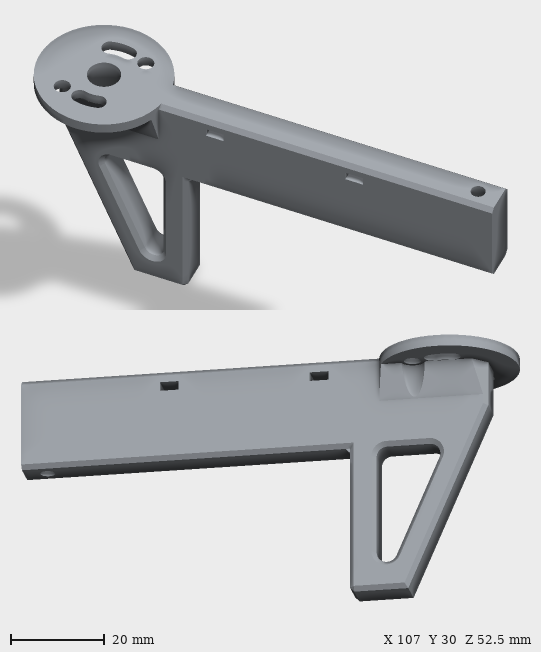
import cadquery as cq
import math

LENGTH = 107.0
HEIGHT = 52.5
FLANGE_RADIUS = 15.0
FLANGE_THICKNESS = 2.5
END_X = LENGTH - FLANGE_RADIUS

BODY_WIDTH = 8.0
EDGE_CHAMFER = 1.0
ARM_DEPTH = 20.0
REAR_X = -9.0
REAR_DEPTH = 12.2
LEG_REAR_X = 8.3
LEG_FRONT_X = 21.0
LEG_SLOPE = (LEG_REAR_X - REAR_X) / (HEIGHT - REAR_DEPTH)

WINDOW_TOP = -20.1
WINDOW_FRONT_X = 15.2
WINDOW_RADIUS = 2.2
LEG_STRUT_WIDTH = 5.4

GUSSET_DEPTH = 10.0
GUSSET_TOP_WIDTH = 13.6

BORE_DIAMETER = 7.3
BORE_DEPTH = 10.0
SCREW_OFFSET = 6.7
SCREW_DIAMETER = 3.6
SCREW_CLEARANCE_DIAMETER = 5.2
SLOT_MID_RADIUS = 8.2
SLOT_WIDTH = 3.6
SLOT_LENGTH = 7.9

END_HOLE_X = 87.0
END_HOLE_DIAMETER = 3.2
TIE_HOLE_CENTERS = (27.5, 59.9)
TIE_HOLE_LENGTH = 4.1
TIE_HOLE_HEIGHT = 1.9
TIE_HOLE_Z = -3.4


def make_body():
    """Extrude the side outline, chamfer its sides and toe, and fill the corner under the arm."""
    body = (
        cq.Workplane("XZ")
        .polyline([
            (REAR_X, 0),
            (END_X, 0),
            (END_X, -ARM_DEPTH),
            (LEG_FRONT_X, -ARM_DEPTH),
            (LEG_FRONT_X, -HEIGHT),
            (LEG_REAR_X, -HEIGHT),
            (REAR_X, -REAR_DEPTH),
        ])
        .close()
        .extrude(BODY_WIDTH / 2, both=True)
    )
    side_edges = body.faces("<Y or >Y").edges("not >X")
    toe_edge = body.faces("<Z").edges("|Y and >X")
    body = side_edges.add(toe_edge).chamfer(EDGE_CHAMFER)
    corner_web = (
        cq.Workplane("XZ")
        .polyline([
            (LEG_FRONT_X, -ARM_DEPTH),
            (LEG_FRONT_X + EDGE_CHAMFER, -ARM_DEPTH),
            (LEG_FRONT_X, -ARM_DEPTH - EDGE_CHAMFER),
        ])
        .close()
        .extrude(BODY_WIDTH / 2 - EDGE_CHAMFER, both=True)
    )
    return body.union(corner_web)


def cut_window(body):
    """Cut the rounded triangular window, its slanted side parallel to the leg's rear."""
    slant_offset = LEG_STRUT_WIDTH * math.hypot(1, LEG_SLOPE)
    top_rear_x = REAR_X + slant_offset + LEG_SLOPE * (-WINDOW_TOP - REAR_DEPTH)
    bottom_z = WINDOW_TOP - (WINDOW_FRONT_X - top_rear_x) / LEG_SLOPE
    window = (
        cq.Workplane("XZ")
        .polyline([
            (top_rear_x, WINDOW_TOP),
            (WINDOW_FRONT_X, WINDOW_TOP),
            (WINDOW_FRONT_X, bottom_z),
        ])
        .close()
        .extrude(BODY_WIDTH, both=True)
        .edges("|Y")
        .fillet(WINDOW_RADIUS)
    )
    rims = cq.selectors.BoxSelector(
        (top_rear_x, -BODY_WIDTH, WINDOW_TOP + EDGE_CHAMFER),
        (WINDOW_FRONT_X + EDGE_CHAMFER, BODY_WIDTH, -HEIGHT + 2 * EDGE_CHAMFER),
        boundingbox=True,
    )
    return body.cut(window).faces("<Y or >Y").edges(rims).chamfer(EDGE_CHAMFER)


def make_gusset():
    """Taper from the flange to the body, with the rear chamfers carried out to its sides."""
    taper = (
        cq.Workplane("YZ", origin=(REAR_X, 0, 0))
        .polyline([
            (-GUSSET_TOP_WIDTH / 2, 0),
            (GUSSET_TOP_WIDTH / 2, 0),
            (BODY_WIDTH / 2, -GUSSET_DEPTH),
            (-BODY_WIDTH / 2, -GUSSET_DEPTH),
        ])
        .close()
        .extrude(FLANGE_RADIUS - REAR_X)
    )
    rear_half_width = BODY_WIDTH / 2 - EDGE_CHAMFER
    flare = FLANGE_RADIUS - rear_half_width
    plan = (
        cq.Workplane("XY")
        .polyline([
            (REAR_X, -rear_half_width),
            (REAR_X + flare, -FLANGE_RADIUS),
            (FLANGE_RADIUS, -FLANGE_RADIUS),
            (FLANGE_RADIUS, FLANGE_RADIUS),
            (REAR_X + flare, FLANGE_RADIUS),
            (REAR_X, rear_half_width),
        ])
        .close()
        .extrude(-GUSSET_DEPTH)
    )
    flange_cylinder = cq.Workplane("XY").circle(FLANGE_RADIUS).extrude(-GUSSET_DEPTH)
    gusset = taper.intersect(plan).intersect(flange_cylinder)
    screw_clearance = (
        cq.Workplane("XY")
        .pushPoints([(-SCREW_OFFSET, -SCREW_OFFSET), (SCREW_OFFSET, SCREW_OFFSET)])
        .circle(SCREW_CLEARANCE_DIAMETER / 2)
        .extrude(-GUSSET_DEPTH)
    )
    return gusset.cut(screw_clearance)


def make_curved_slot():
    """Round-ended slot that follows a circle about the flange axis."""
    end_radius = SLOT_WIDTH / 2
    outer = SLOT_MID_RADIUS + end_radius
    inner = SLOT_MID_RADIUS - end_radius
    half_angle = math.asin((SLOT_LENGTH / 2 - end_radius) / SLOT_MID_RADIUS)

    def slot_point(radius, side):
        return (side * radius * math.sin(half_angle), radius * math.cos(half_angle))

    def end_tip(side):
        x, y = slot_point(SLOT_MID_RADIUS, side)
        return (x + side * end_radius * math.cos(half_angle), y - end_radius * math.sin(half_angle))

    return (
        cq.Workplane("XY")
        .moveTo(*slot_point(outer, -1))
        .threePointArc((0, outer), slot_point(outer, 1))
        .threePointArc(end_tip(1), slot_point(inner, 1))
        .threePointArc((0, inner), slot_point(inner, -1))
        .threePointArc(end_tip(-1), slot_point(outer, -1))
        .close()
        .extrude(-FLANGE_THICKNESS)
    )


def cut_flange_holes(part):
    """Cut the blind central bore, two screw holes and two curved slots."""
    bore = cq.Workplane("XY").circle(BORE_DIAMETER / 2).extrude(-BORE_DEPTH)
    screws = (
        cq.Workplane("XY")
        .pushPoints([(-SCREW_OFFSET, -SCREW_OFFSET), (SCREW_OFFSET, SCREW_OFFSET)])
        .circle(SCREW_DIAMETER / 2)
        .extrude(-FLANGE_THICKNESS)
    )
    part = part.cut(bore).cut(screws)
    slot = make_curved_slot()
    for angle in (0, 180):
        part = part.cut(slot.rotate((0, 0, 0), (0, 0, 1), angle))
    return part


def cut_arm_holes(part):
    """Cut the vertical end hole and the cross holes for cable ties."""
    end_hole = (
        cq.Workplane("XY")
        .center(END_HOLE_X, 0)
        .circle(END_HOLE_DIAMETER / 2)
        .extrude(-ARM_DEPTH)
    )
    part = part.cut(end_hole)
    for x in TIE_HOLE_CENTERS:
        tie_hole = cq.Workplane("XY").box(TIE_HOLE_LENGTH, BODY_WIDTH, TIE_HOLE_HEIGHT)
        part = part.cut(tie_hole.translate((x, 0, TIE_HOLE_Z)))
    return part


flange = cq.Workplane("XY").circle(FLANGE_RADIUS).extrude(-FLANGE_THICKNESS)
result = cut_window(make_body()).union(make_gusset()).union(flange)
result = cut_arm_holes(cut_flange_holes(result))